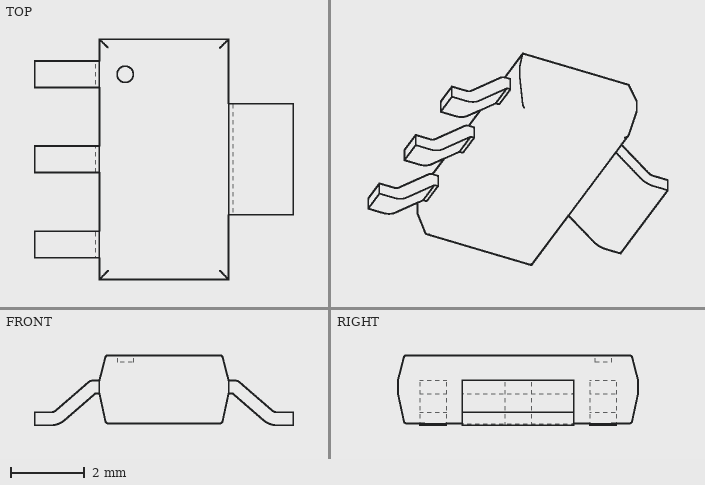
import cadquery as cq
import math

body_length_x = 3.5
body_width_y = 6.5
total_span_x = 7.0
total_height = 1.9
standoff = 0.05
taper_inset = 0.175
edge_radius = 0.085

lead_thickness = 0.36
lead_top = 1.22
foot_length = 0.52
shoulder_length = 0.24
bend_radius = 0.195
lead_width = 0.72
lead_pitch = 2.3
tab_width = 3.01

mark_diameter = 0.44
mark_depth = 0.175
mark_from_side = 0.7
mark_from_end = 0.95

half_span = total_span_x / 2
half_body = body_length_x / 2
band_bottom = lead_top - lead_thickness

slope_run = half_span - half_body - foot_length - shoulder_length
slope_angle = math.atan2(lead_top - lead_thickness, slope_run)
corner_shift = lead_thickness * math.tan(slope_angle / 2)
outer_bend_radius = bend_radius + lead_thickness


def tapered_half(start_z, end_z):
    """Frustum from the full body outline at start_z to the inset outline at end_z."""
    return (
        cq.Workplane("XY", origin=(0, 0, start_z))
        .rect(body_length_x, body_width_y)
        .workplane(offset=end_z - start_z)
        .rect(body_length_x - 2 * taper_inset, body_width_y - 2 * taper_inset)
        .loft(ruled=True)
    )


def make_body():
    """Molded body with rounded top and bottom rims and a round blind mark."""
    band = cq.Workplane("XY", origin=(0, 0, band_bottom)).box(
        body_length_x, body_width_y, lead_thickness, centered=(True, True, False)
    )
    body = band.union(tapered_half(lead_top, total_height))
    body = body.union(tapered_half(band_bottom, standoff))
    body = body.faces("<Z or >Z").edges().fillet(edge_radius)
    mark_center = (mark_from_side - half_body, body_width_y / 2 - mark_from_end)
    mark = (
        cq.Workplane("XY", origin=(*mark_center, total_height - mark_depth))
        .circle(mark_diameter / 2)
        .extrude(mark_depth)
    )
    return body.cut(mark)


def make_lead(width):
    """Gull-wing strip on the -X side, centered on Y = 0, ending flush at the body band."""
    foot_bend_top = (foot_length - half_span, lead_thickness)
    foot_bend_bottom = (foot_bend_top[0] + corner_shift, 0)
    shoulder_bend_top = (-half_body - shoulder_length, lead_top)
    shoulder_bend_bottom = (shoulder_bend_top[0] + corner_shift, band_bottom)
    lead = (
        cq.Workplane("XZ")
        .polyline([
            (-half_span, 0),
            (-half_span, lead_thickness),
            foot_bend_top,
            shoulder_bend_top,
            (-half_body, lead_top),
            (-half_body, band_bottom),
            shoulder_bend_bottom,
            foot_bend_bottom,
        ])
        .close()
        .extrude(width / 2, both=True)
    )
    bends = (
        (foot_bend_top, bend_radius),
        (foot_bend_bottom, outer_bend_radius),
        (shoulder_bend_top, bend_radius),
    )
    for (x, z), radius in bends:
        lead = lead.edges(cq.selectors.NearestToPointSelector((x, 0, z))).fillet(radius)
    return lead


body = make_body()
leads = [make_lead(lead_width).translate((0, row * lead_pitch, 0)) for row in (-1, 0, 1)]
tab = make_lead(tab_width).mirror("YZ")

result = cq.Compound.makeCompound([body.val(), *[lead.val() for lead in leads], tab.val()])